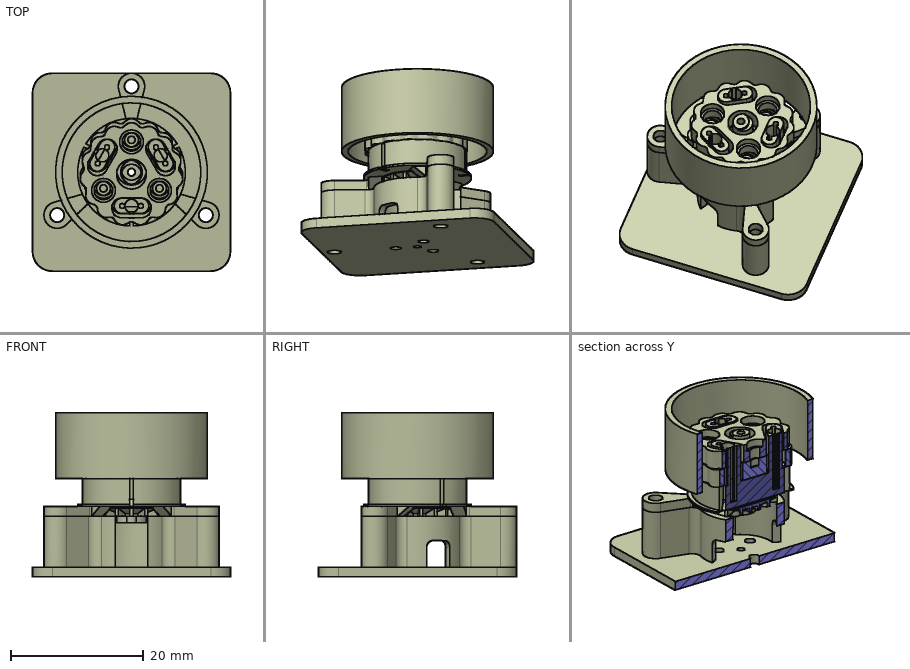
import cadquery as cq
import math

POST_ANGLES = (90, 210, 330)
GAP_ANGLES = (30, 150, 270)
FRONT_GAP_ANGLE = 270
AXIS_BORE_DIAMETER = 1.1
ECCENTRICITY = 0.3

PLATE_THICKNESS = 1.5
SUPPORT_TOP = 9.2
TAB_THICKNESS = 1.5
TAB_TOP = SUPPORT_TOP + TAB_THICKNESS
FLANGE_THICKNESS = 0.3
CARRIER_TOP = 14.9
DISC_THICKNESS = 2.9
UPPER_DISC_BOTTOM = CARRIER_TOP + DISC_THICKNESS
UPPER_DISC_TOP = UPPER_DISC_BOTTOM + DISC_THICKNESS
POST_TOP = UPPER_DISC_TOP + 0.2

PLATE_SIZE = 30
PLATE_CORNER_RADIUS = 3
SCREW_CIRCLE_RADIUS = 13
SUPPORT_RADIUS = 2
SCREW_HOLE_DIAMETER = 2.1
TAPER_ANGLE = 14
WALL_OUTER_RADIUS = 6.6
WALL_INNER_RADIUS = 5.4
WALL_ROOT_FILLET = 1.4
FRONT_GAP_WIDTH = 4.9
ARCH_WIDTH = 4
ARCH_HEIGHT = 4
ARCH_CORNER_RADIUS = 1
PLATE_HOLE_DIAMETER = 1.6
PLATE_HOLE_CIRCLE_RADIUS = 3.4

GUSSET_OUTER_RADIUS = 7.45
CAP_ROOT_FILLET = 1.2
GUSSET_HALF_WIDTH_BOTTOM = 0.85
GUSSET_HALF_WIDTH_TOP = 2.6
RIB_COUNT = 15
RIB_WIDTH = 0.5
RIB_OUTER_RADIUS = 5.5
CENTER_PLATE_TOP = TAB_TOP - 0.2
CENTER_PLATE_RIM = 0.1
CENTER_HUB_RADIUS = 2.9
CENTER_FLARE_HEIGHT = 0.8
JOURNAL_BORE_DIAMETER = 3.3

FLANGE_RADIUS = 8.15
BARREL_RADIUS = 7.45
DRIVE_POST_LENGTH = 5.24
DRIVE_POST_WIDTH = 2.3
DRIVE_POST_CIRCLE_RADIUS = 5.1
POST_HOLE_DIAMETER = 2
POST_SIDE_HOLE_DIAMETER = 0.75
POST_SIDE_HOLE_OFFSET = 1.42
SIDE_SLIT_WIDTH = 0.4
SLIT_WIDTH = 0.6
POST_HOLE_FLOOR = 11.8
POST_HOLE_STEP_RADIUS = 5.25
POST_HOLE_STEP_DEPTH = 0.5
RAMP_START_RADIUS = 6.0
RAMP_END_RADIUS = 6.55
PIN_DIAMETER = 2.1
PIN_HOLE_DIAMETER = 1.1
PIN_CIRCLE_RADIUS = 4.9
PIN_HEIGHT = 2.5

LOBE_COUNT = 15
DISC_MEAN_RADIUS = 7.5
ROLLER_RADIUS = 0.5
PROFILE_POINTS_PER_LOBE = 8
DISC_BORE_DIAMETER = 4.5
DISC_PIN_HOLE_DIAMETER = 2.8
DISC_PIN_RECESS_DIAMETER = 3.6
DISC_PIN_RECESS_DEPTH = 1.2
SLOT_CLEARANCE = 0.7

SHAFT_DIAMETER = 3
SHAFT_TIP_LENGTH = 0.3
HUB_BOTTOM = 8.2
HUB_RADIUS = 2.25
HUB_BOSS_DIAMETER = 1.5

CUP_OUTER_DIAMETER = 23
CUP_INNER_DIAMETER = 21
CUP_HEIGHT = 10


def polar(radius, angle):
    a = math.radians(angle)
    return (radius * math.cos(a), radius * math.sin(a))


def polar_points(radius, angles):
    return [polar(radius, angle) for angle in angles]


def cylinder(diameter, bottom, top, points=((0, 0),)):
    plane = cq.Workplane().workplane(offset=bottom)
    return plane.pushPoints(points).circle(diameter / 2).extrude(top - bottom)


def block(x_min, x_max, width, bottom, top):
    """Box that lies along +X, centred across Y."""
    size = (x_max - x_min, width, top - bottom)
    return cq.Workplane().box(*size, centered=(False, True, False)).translate((x_min, 0, bottom))


def turned(shape, angle):
    return shape.rotate((0, 0, 0), (0, 0, 1), angle)


class RootSelector(cq.Selector):
    """Upright edges where the flat arm sides meet the round core."""

    def filter(self, edges):
        roots = []
        for edge in edges:
            center = edge.Center()
            distance = math.hypot(center.x, center.y)
            if edge.geomType() == "LINE" and math.isclose(distance, WALL_OUTER_RADIUS, abs_tol=0.001):
                roots.append(edge)
        return roots


def support_spider(bottom, top, root_fillet):
    """Round core and three tapered arms that end in round screw posts."""
    height = top - bottom
    taper = math.radians(TAPER_ANGLE)
    apex = SCREW_CIRCLE_RADIUS - SUPPORT_RADIUS / math.sin(taper)
    tangent_x = SCREW_CIRCLE_RADIUS - SUPPORT_RADIUS * math.sin(taper)
    tangent_y = SUPPORT_RADIUS * math.cos(taper)
    arm = (
        cq.Workplane()
        .moveTo(apex, 0)
        .lineTo(tangent_x, -tangent_y)
        .threePointArc((SCREW_CIRCLE_RADIUS + SUPPORT_RADIUS, 0), (tangent_x, tangent_y))
        .close()
        .extrude(height)
    )
    spider = turned(cq.Workplane().circle(WALL_OUTER_RADIUS).extrude(height), POST_ANGLES[0])
    for angle in POST_ANGLES:
        spider = spider.union(turned(arm, angle))
    spider = spider.edges(RootSelector()).fillet(root_fillet)
    holes = cylinder(SCREW_HOLE_DIAMETER, 0, height, polar_points(SCREW_CIRCLE_RADIUS, POST_ANGLES))
    return spider.cut(holes).translate((0, 0, bottom))


def make_base():
    plate = cq.Workplane().rect(PLATE_SIZE, PLATE_SIZE).extrude(PLATE_THICKNESS)
    plate = plate.edges("|Z").fillet(PLATE_CORNER_RADIUS)
    wall = support_spider(PLATE_THICKNESS, SUPPORT_TOP, WALL_ROOT_FILLET)
    wall = wall.cut(cylinder(2 * WALL_INNER_RADIUS, PLATE_THICKNESS, SUPPORT_TOP))
    front_gap = block(0, WALL_OUTER_RADIUS + 1, FRONT_GAP_WIDTH, PLATE_THICKNESS, SUPPORT_TOP)
    wall = wall.cut(turned(front_gap, FRONT_GAP_ANGLE))
    arch = block(0, WALL_OUTER_RADIUS + 1, ARCH_WIDTH, PLATE_THICKNESS, PLATE_THICKNESS + ARCH_HEIGHT)
    arch = arch.edges("|X and >Z").fillet(ARCH_CORNER_RADIUS)
    for angle in GAP_ANGLES:
        if angle != FRONT_GAP_ANGLE:
            wall = wall.cut(turned(arch, angle))
    base = plate.union(wall)
    base = base.cut(cylinder(AXIS_BORE_DIAMETER, 0, PLATE_THICKNESS))
    screws = polar_points(SCREW_CIRCLE_RADIUS, POST_ANGLES)
    base = base.cut(cylinder(SCREW_HOLE_DIAMETER, 0, PLATE_THICKNESS, screws))
    plate_holes = polar_points(PLATE_HOLE_CIRCLE_RADIUS, POST_ANGLES)
    return base.cut(cylinder(PLATE_HOLE_DIAMETER, 0, PLATE_THICKNESS, plate_holes))


def make_cap_center():
    """Hub that flares up into a thin round plate, with upright ribs below the plate."""
    plate_bottom = CENTER_PLATE_TOP - CENTER_PLATE_RIM
    bore_radius = JOURNAL_BORE_DIAMETER / 2
    center = (
        cq.Workplane("XZ")
        .moveTo(bore_radius, SUPPORT_TOP)
        .lineTo(CENTER_HUB_RADIUS, SUPPORT_TOP)
        .lineTo(CENTER_HUB_RADIUS, plate_bottom - CENTER_FLARE_HEIGHT)
        .lineTo(RIB_OUTER_RADIUS, plate_bottom)
        .lineTo(RIB_OUTER_RADIUS, CENTER_PLATE_TOP)
        .lineTo(bore_radius, CENTER_PLATE_TOP)
        .close()
        .revolve(360, (0, 0, 0), (0, 1, 0))
    )
    rib_start = CENTER_HUB_RADIUS - RIB_WIDTH
    rib = block(rib_start, RIB_OUTER_RADIUS, RIB_WIDTH, SUPPORT_TOP, plate_bottom)
    for index in range(RIB_COUNT):
        center = center.union(turned(rib, FRONT_GAP_ANGLE + index * 360 / RIB_COUNT))
    return center


def make_cap():
    cap = support_spider(SUPPORT_TOP, TAB_TOP, CAP_ROOT_FILLET)
    cap = cap.cut(cylinder(2 * GUSSET_OUTER_RADIUS, SUPPORT_TOP, TAB_TOP))
    gusset = (
        cq.Workplane("YZ")
        .polyline([
            (-GUSSET_HALF_WIDTH_BOTTOM, SUPPORT_TOP),
            (GUSSET_HALF_WIDTH_BOTTOM, SUPPORT_TOP),
            (GUSSET_HALF_WIDTH_TOP, TAB_TOP),
            (-GUSSET_HALF_WIDTH_TOP, TAB_TOP),
        ])
        .close()
        .extrude(GUSSET_OUTER_RADIUS + 1)
    )
    gusset = gusset.intersect(cylinder(2 * GUSSET_OUTER_RADIUS, SUPPORT_TOP, TAB_TOP))
    gusset = gusset.cut(cylinder(2 * WALL_INNER_RADIUS, SUPPORT_TOP, TAB_TOP))
    for angle in POST_ANGLES:
        cap = cap.union(turned(gusset, angle))
    return cap.union(make_cap_center())


def drive_posts(clearance, bottom, top):
    """Slot-shaped prisms across the radial direction, one per gap angle."""
    post = (
        cq.Workplane()
        .workplane(offset=bottom)
        .center(DRIVE_POST_CIRCLE_RADIUS, 0)
        .slot2D(DRIVE_POST_LENGTH + clearance, DRIVE_POST_WIDTH + clearance, 90)
        .extrude(top - bottom)
    )
    return [turned(post, angle) for angle in GAP_ANGLES]


def cable_channel():
    """Stepped post hole with two side holes and a radial slit whose floor slopes down outward."""
    hole = cylinder(POST_HOLE_DIAMETER, TAB_TOP, POST_TOP, [(DRIVE_POST_CIRCLE_RADIUS, 0)])
    slit = block(DRIVE_POST_CIRCLE_RADIUS, FLANGE_RADIUS + 1, SLIT_WIDTH, TAB_TOP, POST_TOP)
    floor = (
        cq.Workplane("XZ")
        .moveTo(0, TAB_TOP)
        .lineTo(0, POST_HOLE_FLOOR - POST_HOLE_STEP_DEPTH)
        .lineTo(POST_HOLE_STEP_RADIUS, POST_HOLE_FLOOR - POST_HOLE_STEP_DEPTH)
        .lineTo(POST_HOLE_STEP_RADIUS, POST_HOLE_FLOOR)
        .lineTo(RAMP_START_RADIUS, POST_HOLE_FLOOR)
        .lineTo(RAMP_END_RADIUS, TAB_TOP)
        .close()
        .extrude(POST_HOLE_DIAMETER, both=True)
    )
    side_holes = cylinder(
        POST_SIDE_HOLE_DIAMETER,
        POST_HOLE_FLOOR,
        POST_TOP,
        [(DRIVE_POST_CIRCLE_RADIUS, side * POST_SIDE_HOLE_OFFSET) for side in (-1, 1)],
    )
    half_slit = SIDE_SLIT_WIDTH / 2
    side_slit = block(-half_slit, half_slit, 2 * POST_SIDE_HOLE_OFFSET, POST_HOLE_FLOOR, POST_TOP)
    side_slit = side_slit.translate((DRIVE_POST_CIRCLE_RADIUS, 0, 0))
    return hole.union(slit).cut(floor).union(side_holes).union(side_slit)


def make_carrier():
    carrier = cylinder(2 * FLANGE_RADIUS, TAB_TOP, TAB_TOP + FLANGE_THICKNESS)
    carrier = carrier.union(cylinder(2 * BARREL_RADIUS, TAB_TOP, CARRIER_TOP))
    for post in drive_posts(0, CARRIER_TOP, POST_TOP):
        carrier = carrier.union(post)
    pin_top = CARRIER_TOP + PIN_HEIGHT
    pin_points = polar_points(PIN_CIRCLE_RADIUS, POST_ANGLES)
    carrier = carrier.union(cylinder(PIN_DIAMETER, CARRIER_TOP, pin_top, pin_points))
    carrier = carrier.cut(cylinder(PIN_HOLE_DIAMETER, POST_HOLE_FLOOR, pin_top, pin_points))
    carrier = carrier.cut(cylinder(JOURNAL_BORE_DIAMETER, TAB_TOP, CARRIER_TOP))
    channel = cable_channel()
    for angle in GAP_ANGLES:
        carrier = carrier.cut(turned(channel, angle))
    return carrier


def cycloid_point(angle):
    """Point of the cycloidal outline, offset inward by the roller radius."""
    rollers = LOBE_COUNT + 1
    pitch_radius = DISC_MEAN_RADIUS + ROLLER_RADIUS
    swing = LOBE_COUNT * angle
    tilt = math.atan2(
        math.sin(swing),
        pitch_radius / (ECCENTRICITY * rollers) - math.cos(swing),
    )
    x = pitch_radius * math.cos(angle)
    x -= ROLLER_RADIUS * math.cos(angle - tilt) + ECCENTRICITY * math.cos(rollers * angle)
    y = pitch_radius * math.sin(angle)
    y -= ROLLER_RADIUS * math.sin(angle - tilt) + ECCENTRICITY * math.sin(rollers * angle)
    return (x, y)


def make_disc(bottom, shift):
    top = bottom + DISC_THICKNESS
    count = LOBE_COUNT * PROFILE_POINTS_PER_LOBE
    outline = [cycloid_point(2 * math.pi * index / count) for index in range(count)]
    plane = cq.Workplane().workplane(offset=bottom)
    disc = plane.spline(outline, periodic=True).close().extrude(DISC_THICKNESS)
    disc = turned(disc, FRONT_GAP_ANGLE)
    disc = disc.cut(cylinder(DISC_BORE_DIAMETER, bottom, top))
    pin_points = polar_points(PIN_CIRCLE_RADIUS, POST_ANGLES)
    disc = disc.cut(cylinder(DISC_PIN_HOLE_DIAMETER, bottom, top, pin_points))
    disc = disc.cut(cylinder(DISC_PIN_RECESS_DIAMETER, top - DISC_PIN_RECESS_DEPTH, top, pin_points))
    for slot in drive_posts(SLOT_CLEARANCE, bottom, top):
        disc = disc.cut(slot)
    return disc.translate((0, shift, 0))


def make_shaft():
    """Bored shaft: hub, journal, two opposed eccentrics and a tip where both eccentrics overlap."""
    eccentric_top = POST_TOP - SHAFT_TIP_LENGTH
    shaft = cylinder(2 * HUB_RADIUS, HUB_BOTTOM, SUPPORT_TOP)
    bosses = polar_points(HUB_RADIUS, GAP_ANGLES)
    shaft = shaft.union(cylinder(HUB_BOSS_DIAMETER, HUB_BOTTOM, SUPPORT_TOP, bosses))
    shaft = shaft.union(cylinder(SHAFT_DIAMETER, SUPPORT_TOP, CARRIER_TOP))
    lower_center = [(0, ECCENTRICITY)]
    upper_center = [(0, -ECCENTRICITY)]
    shaft = shaft.union(cylinder(SHAFT_DIAMETER, CARRIER_TOP, UPPER_DISC_BOTTOM, lower_center))
    shaft = shaft.union(cylinder(SHAFT_DIAMETER, UPPER_DISC_BOTTOM, eccentric_top, upper_center))
    tip = cylinder(SHAFT_DIAMETER, eccentric_top, POST_TOP, lower_center)
    tip = tip.intersect(cylinder(SHAFT_DIAMETER, eccentric_top, POST_TOP, upper_center))
    return shaft.union(tip).cut(cylinder(AXIS_BORE_DIAMETER, HUB_BOTTOM, POST_TOP))


def make_cup():
    cup = cylinder(CUP_OUTER_DIAMETER, CARRIER_TOP, CARRIER_TOP + CUP_HEIGHT)
    return cup.cut(cylinder(CUP_INNER_DIAMETER, CARRIER_TOP, CARRIER_TOP + CUP_HEIGHT))


base = make_base()
cap = make_cap()
carrier = make_carrier()
lower_disc = make_disc(CARRIER_TOP, ECCENTRICITY)
upper_disc = make_disc(UPPER_DISC_BOTTOM, -ECCENTRICITY)
shaft = make_shaft()
cup = make_cup()

bodies = [base, cap, carrier, lower_disc, upper_disc, shaft, cup]
result = cq.Compound.makeCompound([body.solids().val() for body in bodies])